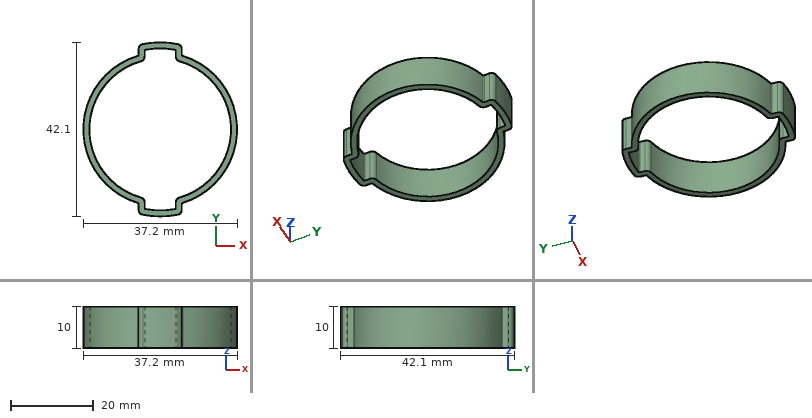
import cadquery as cq

ring_diameter = 37.15
ear_span = 42.1
height = 10.0
wall = 1.5
ear_width = 10.5
large_corner_radius = 1.25
small_corner_radius = 0.25


def eared_disc(ring_radius, ear_radius, width, tip_corner_radius, root_corner_radius):
    """Disc with a parallel-sided ear at each Y end, tipped by arcs about the axis."""
    disc = cq.Workplane("XY").circle(ring_radius).extrude(height)
    ears = (
        cq.Workplane("XY")
        .rect(width, 2 * ear_radius)
        .extrude(height)
        .intersect(cq.Workplane("XY").circle(ear_radius).extrude(height))
    )
    ears = ears.edges("|Z").fillet(tip_corner_radius)

    half_width = width / 2
    root_y = (ring_radius**2 - half_width**2) ** 0.5
    body = disc.union(ears)
    for side_x in (-half_width, half_width):
        for side_y in (-root_y, root_y):
            root = cq.selectors.NearestToPointSelector((side_x, side_y, height / 2))
            body = body.edges("|Z").edges(root).fillet(root_corner_radius)
    return body


outer_body = eared_disc(
    ring_diameter / 2,
    ear_span / 2,
    ear_width,
    large_corner_radius,
    small_corner_radius,
)
opening = eared_disc(
    ring_diameter / 2 - wall,
    ear_span / 2 - wall,
    ear_width - 2 * wall,
    small_corner_radius,
    large_corner_radius,
)

result = outer_body.cut(opening).translate((0, 0, -height / 2))